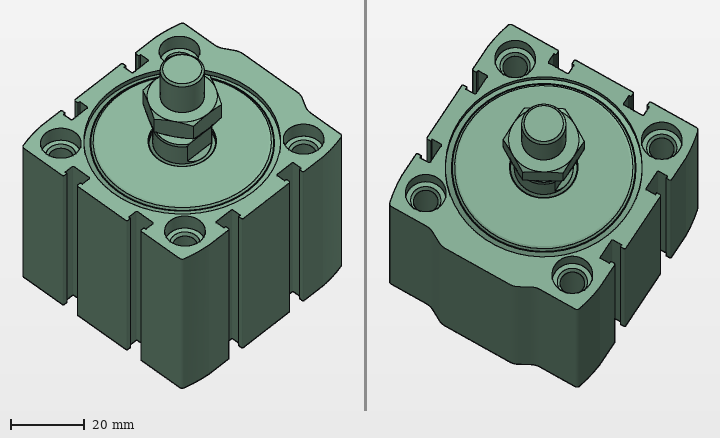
import cadquery as cq
import math


total_height = 81.0
housing_height = 52.0
half_width = 31.5
hump_y = 34.5

bow_start = 22.35
bow_radius = 42.1
bow_inset = 1.6
corner_radius = 1.0
hump_crest_half = 11.5
hump_foot_half = 16.7
hump_radius = 5.0

slot_offset = 11.9
slot_mouth = 5.0
slot_inner = 6.4
slot_lip = 1.45
slot_depth = 4.5
slot_radius = 0.3
lip_radius = 0.4

hole_offset = 23.25
hole_dia = 6.65
countersink_dia = 8.2
countersink_depth = 0.8
counterbore_dia = 11.0
counterbore_depth = 4.9

groove_outer_dia = 53.3
groove_depth = 1.5
ledge_outer_dia = 50.0
ledge_inner_dia = 49.5
ledge_depth = 0.65
cover_bevel_dia = 48.3
cover_bevel_depth = 0.2
cover_face_dia = 47.15

rod_dia = 16.0
rod_depth = 16.2
rod_shoulder_z = 59.05
rod_chamfer_height = 0.6
rod_chamfer_width = 0.3
flat_width = 13.0
flat_bottom_z = 52.65
flat_slope = 35.0
neck_dia = 9.8
neck_fillet = 0.5
thread_dia = 12.0
thread_start_z = 61.15
thread_tip_dia = 10.6
thread_tip_height = 0.6

wiper_dia = 18.1
wiper_depth = 1.3
wiper_lip_depth = 0.3
wiper_bevel = 0.25

nut_bottom_z = 64.0
nut_height = 6.15
nut_flats = 19.0
nut_bevel_height = 0.6
hex_half_angle = 30.0


def fillet_uprights(body, points, radius):
    """Round the vertical edges of a housing-high body that stand at the given XY points."""
    uprights = cq.Workplane("XY")
    for x, y in points:
        edge = body.edges("|Z").edges(cq.NearestToPointSelector((x, y, housing_height / 2)))
        uprights = uprights.add(edge.vals())
    return body.newObject(uprights.vals()).fillet(radius)


def housing_outline():
    """Bowed square with a low hump on the +Y side, extruded to the housing height."""
    corner_x = half_width - bow_inset
    outline = (
        cq.Workplane("XY")
        .moveTo(half_width, -bow_start)
        .lineTo(half_width, bow_start)
        .radiusArc((corner_x, half_width), -bow_radius)
        .lineTo(hump_foot_half, half_width)
        .lineTo(hump_crest_half, hump_y)
        .lineTo(-hump_crest_half, hump_y)
        .lineTo(-hump_foot_half, half_width)
        .lineTo(-corner_x, half_width)
        .radiusArc((-half_width, bow_start), -bow_radius)
        .lineTo(-half_width, -bow_start)
        .radiusArc((-corner_x, -half_width), -bow_radius)
        .lineTo(corner_x, -half_width)
        .radiusArc((half_width, -bow_start), -bow_radius)
        .close()
        .extrude(housing_height)
    )
    corner_points = [(sx * corner_x, sy * half_width) for sx in (-1, 1) for sy in (-1, 1)]
    hump_feet = [(-hump_foot_half, half_width), (hump_foot_half, half_width)]
    hump_crests = [(-hump_crest_half, hump_y), (hump_crest_half, hump_y)]
    outline = fillet_uprights(outline, corner_points, corner_radius)
    return fillet_uprights(outline, hump_feet + hump_crests, hump_radius)


def t_slot(angle, offset):
    """T-slot cutter in the +X side at Y = offset, turned about Z by angle."""
    neck_x = half_width - slot_lip
    deep_x = half_width - slot_depth
    wide = (
        cq.Workplane("XY")
        .center((neck_x + deep_x) / 2, offset)
        .rect(neck_x - deep_x, slot_inner)
        .extrude(housing_height)
        .edges("|Z and <X")
        .fillet(slot_radius)
    )
    lip_y = slot_mouth / 2
    flare_x = half_width - lip_radius
    flare_y = lip_y + lip_radius
    mouth = (
        cq.Workplane("XY")
        .moveTo(neck_x, offset - lip_y)
        .lineTo(flare_x, offset - lip_y)
        .radiusArc((half_width, offset - flare_y), lip_radius)
        .lineTo(half_width, offset + flare_y)
        .radiusArc((flare_x, offset + lip_y), lip_radius)
        .lineTo(neck_x, offset + lip_y)
        .close()
        .extrude(housing_height)
    )
    return wide.union(mouth).rotate((0, 0, 0), (0, 0, 1), angle)


def mounting_hole():
    """Stepped through hole cutter on the Z axis."""
    floor_z = housing_height - counterbore_depth
    return (
        cq.Workplane("XZ")
        .polyline([
            (0, 0),
            (hole_dia / 2, 0),
            (hole_dia / 2, floor_z - countersink_depth),
            (countersink_dia / 2, floor_z),
            (counterbore_dia / 2, floor_z),
            (counterbore_dia / 2, housing_height),
            (0, housing_height),
        ])
        .close()
        .revolve()
    )


def ring_cut(points):
    """Revolve a closed (radius, height above the housing top) profile about Z."""
    return (
        cq.Workplane("XZ", origin=(0, 0, housing_height))
        .polyline(points)
        .close()
        .revolve(360, (0, 0), (0, 1))
    )


def cover_groove():
    """Groove with a straight outer wall and a stepped cone rising inward to the cover face."""
    return ring_cut([
        (cover_face_dia / 2, 0),
        (cover_bevel_dia / 2, -cover_bevel_depth),
        (ledge_inner_dia / 2, -ledge_depth),
        (ledge_outer_dia / 2, -ledge_depth),
        (groove_outer_dia / 2, -groove_depth),
        (groove_outer_dia / 2, 0),
    ])


def wiper_groove():
    """Groove whose floor rises to a lip against the rod, with a bevelled outer edge."""
    return ring_cut([
        (rod_dia / 2, 0),
        (rod_dia / 2, -wiper_lip_depth),
        (wiper_dia / 2, -wiper_depth),
        (wiper_dia / 2, -wiper_bevel),
        (wiper_dia / 2 + wiper_bevel, 0),
    ])


def make_housing():
    body = housing_outline()
    for angle in (0, 180, 270):
        for offset in (-slot_offset, slot_offset):
            body = body.cut(t_slot(angle, offset))
    for x in (-hole_offset, hole_offset):
        for y in (-hole_offset, hole_offset):
            body = body.cut(mounting_hole().translate((x, y, 0)))
    rod_bore = (
        cq.Workplane("XY", origin=(0, 0, housing_height - rod_depth))
        .circle(rod_dia / 2)
        .extrude(rod_depth)
    )
    return body.cut(rod_bore).cut(cover_groove()).cut(wiper_groove())


def make_rod():
    cone_height = (thread_dia - neck_dia) / 2
    rod = (
        cq.Workplane("XZ")
        .moveTo(0, housing_height - rod_depth)
        .lineTo(rod_dia / 2, housing_height - rod_depth)
        .lineTo(rod_dia / 2, rod_shoulder_z - rod_chamfer_height)
        .lineTo(rod_dia / 2 - rod_chamfer_width, rod_shoulder_z)
        .lineTo(neck_dia / 2 + neck_fillet, rod_shoulder_z)
        .radiusArc((neck_dia / 2, rod_shoulder_z + neck_fillet), neck_fillet)
        .lineTo(neck_dia / 2, thread_start_z - cone_height)
        .lineTo(thread_dia / 2, thread_start_z)
        .lineTo(thread_dia / 2, total_height - thread_tip_height)
        .lineTo(thread_tip_dia / 2, total_height)
        .lineTo(0, total_height)
        .close()
        .revolve(360, (0, 0), (0, 1))
    )
    flat_x = flat_width / 2
    slope_end_z = flat_bottom_z - (rod_dia / 2 - flat_x) * math.tan(math.radians(flat_slope))
    flat_cut = (
        cq.Workplane("XZ")
        .polyline([
            (flat_x, flat_bottom_z),
            (rod_dia / 2, slope_end_z),
            (rod_dia / 2, rod_shoulder_z),
            (flat_x, rod_shoulder_z),
        ])
        .close()
        .extrude(rod_dia / 2, both=True)
    )
    return rod.cut(flat_cut).cut(flat_cut.mirror("YZ"))


def make_nut():
    corner_dia = nut_flats / math.cos(math.radians(hex_half_angle))
    hexagon = (
        cq.Workplane("XY", origin=(0, 0, nut_bottom_z))
        .polygon(6, corner_dia)
        .extrude(nut_height)
        .rotate((0, 0, 0), (0, 0, 1), hex_half_angle)
    )
    bevelled_disc = (
        cq.Workplane("XY", origin=(0, 0, nut_bottom_z))
        .circle(corner_dia / 2)
        .extrude(nut_height)
        .faces("<Z or >Z")
        .edges()
        .chamfer(nut_bevel_height, (corner_dia - nut_flats) / 2)
    )
    bore = (
        cq.Workplane("XY", origin=(0, 0, nut_bottom_z))
        .circle(thread_dia / 2)
        .extrude(nut_height)
    )
    return hexagon.intersect(bevelled_disc).cut(bore)


housing = make_housing()
rod = make_rod()
nut = make_nut()

result = cq.Compound.makeCompound([housing.val(), rod.val(), nut.val()])